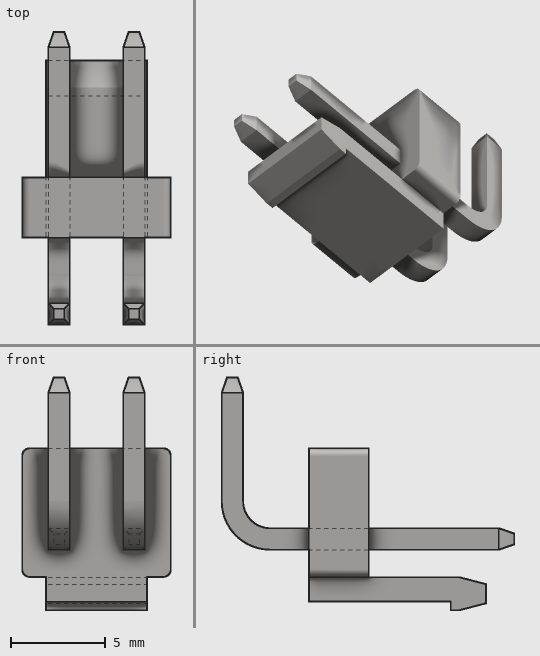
import cadquery as cq


housing_width = 7.86
housing_depth = 3.17
housing_height = 6.8
corner_radius = 0.4

latch_width = 5.34
latch_thickness = 1.3
latch_reach = 9.36
latch_ramp_length = 1.42
latch_ramp_drop = 0.37
hook_depth = 0.46
hook_length = 1.87
hook_ramp_rise = 0.37

pin_count = 2
pin_pitch = 3.96
pin_size = 1.15
pin_bottom = 1.44
pin_top = 10.55
pin_rear = -4.61
pin_length = 15.47
pin_front = pin_rear + pin_length
bend_inner_radius = 1.42
tip_length = 0.82
tip_size = pin_size / 2

pin_axis_z = pin_bottom + pin_size / 2
pin_axis_y = pin_rear + pin_size / 2
bend_radius = bend_inner_radius + pin_size / 2
pin_positions = [(i - (pin_count - 1) / 2) * pin_pitch for i in range(pin_count)]


def make_block():
    """Rectangular block with rounded edges along Y."""
    block = cq.Workplane("XY").box(
        housing_width, housing_depth, housing_height, centered=(True, False, False)
    )
    return block.edges("|Y").fillet(corner_radius)


def make_latch():
    """Cantilever latch with a tapered nose and a downward hook."""
    hook_bottom = -latch_thickness - hook_depth
    hook_back = latch_reach - hook_length
    nose_start = latch_reach - latch_ramp_length
    profile = [
        (0, 0),
        (nose_start, 0),
        (latch_reach, -latch_ramp_drop),
        (latch_reach, hook_bottom + hook_ramp_rise),
        (nose_start, hook_bottom),
        (hook_back, hook_bottom),
        (hook_back, -latch_thickness),
        (0, -latch_thickness),
    ]
    return cq.Workplane("YZ").polyline(profile).close().extrude(latch_width / 2, both=True)


def make_housing():
    """Block and latch, with a square through hole for each pin."""
    housing = make_block().union(make_latch())
    for x in pin_positions:
        hole = cq.Workplane("XY").box(
            pin_size, housing_depth, pin_size, centered=(True, False, True)
        )
        housing = housing.cut(hole.translate((x, 0, pin_axis_z)))
    return housing


def make_tip(base_plane):
    """Square pyramid frustum tapering along the plane's normal."""
    return (
        cq.Workplane(base_plane)
        .rect(pin_size, pin_size)
        .workplane(offset=tip_length)
        .rect(tip_size, tip_size)
        .loft(ruled=True, combine=True)
    )


def make_pin(x):
    """Square pin bent upward at the rear, with a tapered tip at each end."""
    contact_base = cq.Plane(
        origin=(x, pin_front - tip_length, pin_axis_z), xDir=(1, 0, 0), normal=(0, 1, 0)
    )
    tail_base = cq.Plane(
        origin=(x, pin_axis_y, pin_top - tip_length), xDir=(1, 0, 0), normal=(0, 0, 1)
    )
    bend_center_y = pin_axis_y + bend_radius
    bend_center_z = pin_axis_z + bend_radius
    contact_leg_length = pin_front - tip_length - bend_center_y
    tail_leg_length = pin_top - tip_length - bend_center_z

    contact_leg = cq.Workplane(contact_base).rect(pin_size, pin_size).extrude(-contact_leg_length)
    tail_leg = cq.Workplane(tail_base).rect(pin_size, pin_size).extrude(-tail_leg_length)
    bend_start = cq.Plane(
        origin=(x, pin_axis_y, bend_center_z), xDir=(1, 0, 0), normal=(0, 0, 1)
    )
    bend = (
        cq.Workplane(bend_start)
        .rect(pin_size, pin_size)
        .revolve(90, (0, bend_radius, 0), (1, bend_radius, 0))
    )
    pin = contact_leg.union(bend).union(tail_leg)
    return pin.union(make_tip(contact_base)).union(make_tip(tail_base))


housing = make_housing()
pins = [make_pin(x).val() for x in pin_positions]

result = cq.Compound.makeCompound([housing.val(), *pins])